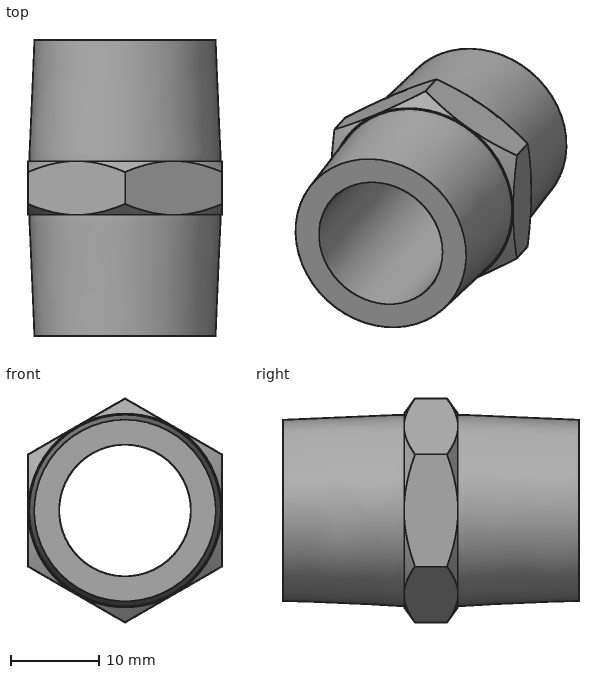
import cadquery as cq
import math

thread_length = 13.0
collar_length = 0.75
hex_width = 6.1

bore_diameter = 14.9
end_diameter = 20.58
collar_diameter = 21.7

across_flats = 22.0
chamfer_angle = 36.0
sides = 6
half_sector = 180.0 / sides

across_corners = across_flats / math.cos(math.radians(half_sector))
half_hex = hex_width / 2
taper_start = half_hex + collar_length
half_length = taper_start + thread_length


def revolve_about_y(points):
    """Revolve a closed (radius, Y) profile about the Y axis."""
    return cq.Workplane("ZY").polyline(points).close().revolve(360, (0, 0), (0, 1))


def make_spigots():
    """Both tapered ends, joined by the straight collar through the hexagon."""
    end_radius = end_diameter / 2
    collar_radius = collar_diameter / 2
    return revolve_about_y([
        (0, -half_length),
        (end_radius, -half_length),
        (collar_radius, -taper_start),
        (collar_radius, taper_start),
        (end_radius, half_length),
        (0, half_length),
    ])


def make_hexagon():
    """Hexagon with flats facing +X and -X and its corners chamfered conically."""
    prism = (
        cq.Workplane("XZ")
        .polygon(sides, across_corners)
        .extrude(half_hex, both=True)
        .rotate((0, 0, 0), (0, 1, 0), half_sector)
    )
    face_radius = across_flats / 2
    corner_radius = across_corners / 2
    chamfer_depth = (corner_radius - face_radius) * math.tan(math.radians(chamfer_angle))
    shoulder = half_hex - chamfer_depth
    chamfer_envelope = revolve_about_y([
        (0, -half_hex),
        (face_radius, -half_hex),
        (corner_radius, -shoulder),
        (corner_radius, shoulder),
        (face_radius, half_hex),
        (0, half_hex),
    ])
    return prism.intersect(chamfer_envelope)


def make_bore():
    """Through bore along Y."""
    return cq.Workplane("XZ").circle(bore_diameter / 2).extrude(half_length, both=True)


result = make_spigots().union(make_hexagon()).cut(make_bore())